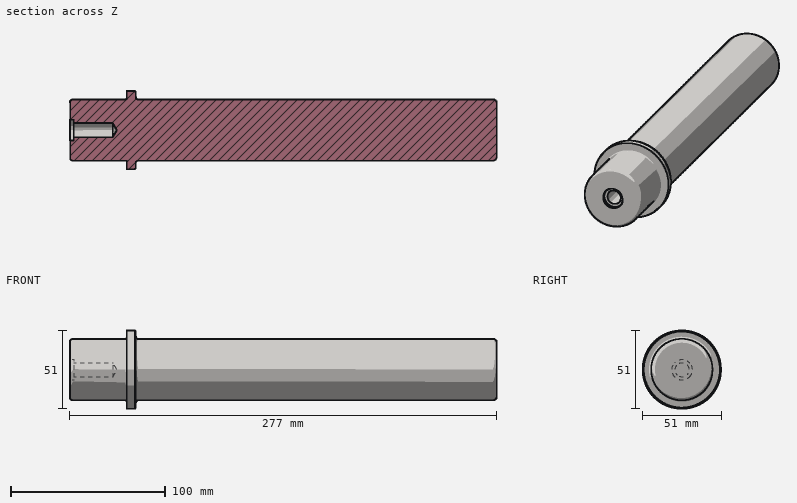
import cadquery as cq

length = 277.0
body_radius = 20.0
near_end_rounding = 2.0
far_end_rounding = 2.5

collar_radius = 25.5
collar_start = 36.8
collar_end = 43.0
collar_chamfer = 0.8
front_blend = 0.8
rear_blend = 1.5

bore_radius = 4.57
bore_depth = 27.7
counterbore_radius = 6.6
counterbore_depth = 2.5
tip_length = 2.8


def make_body():
    rod = cq.Workplane("YZ").circle(body_radius).extrude(length)
    rod = rod.faces("<X").edges().fillet(near_end_rounding)
    return rod.faces(">X").edges().fillet(far_end_rounding)


def make_collar():
    """Revolved collar with a chamfered rear rim and concave blends at its root."""
    front_foot = collar_start - front_blend
    rear_foot = collar_end + rear_blend
    profile = (
        cq.Workplane("XY")
        .moveTo(front_foot, 0)
        .lineTo(front_foot, body_radius)
        .radiusArc((collar_start, body_radius + front_blend), -front_blend)
        .lineTo(collar_start, collar_radius)
        .lineTo(collar_end - collar_chamfer, collar_radius)
        .lineTo(collar_end, collar_radius - collar_chamfer)
        .lineTo(collar_end, body_radius + rear_blend)
        .radiusArc((rear_foot, body_radius), -rear_blend)
        .lineTo(rear_foot, 0)
        .close()
    )
    return profile.revolve(360, (0, 0, 0), (1, 0, 0))


def make_end_hole():
    profile = (
        cq.Workplane("XY")
        .moveTo(0, 0)
        .lineTo(0, counterbore_radius)
        .lineTo(counterbore_depth, counterbore_radius)
        .lineTo(counterbore_depth, bore_radius)
        .lineTo(bore_depth, bore_radius)
        .lineTo(bore_depth + tip_length, 0)
        .close()
    )
    return profile.revolve(360, (0, 0, 0), (1, 0, 0))


result = make_body().union(make_collar()).cut(make_end_hole())